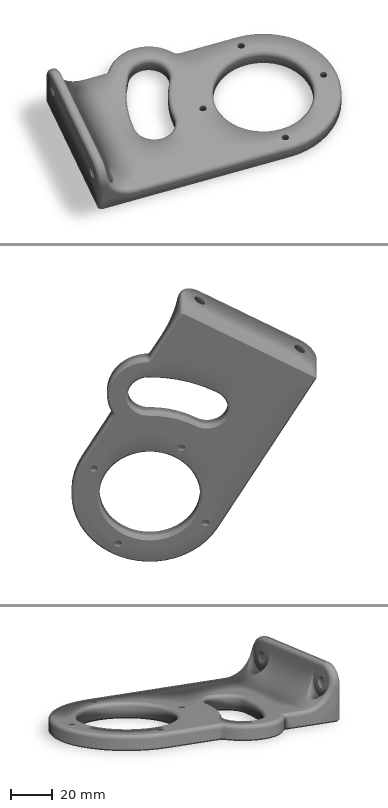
import cadquery as cq
import math

plate_radius = 37.7
plate_thickness = 8.0
wall_outer_y = -98.0
bore_diameter = 48.5
small_hole_diameter = 3.5
small_hole_circle_radius = 31.0

slot_path_radius = 55.9
slot_sweep = math.radians(30)
slot_half_width = 10.0
lobe_radius = 20.1
lobe_x = -slot_path_radius * math.sin(slot_sweep)
lobe_y = -slot_path_radius * math.cos(slot_sweep)
lobe_blend_radius = 2.0

wall_height = 28.0
wall_thickness = 5.0
wall_inner_y = wall_outer_y + wall_thickness
wall_bend_radius = 15.0
wall_corner_radius = 10.0
wall_hole_diameter = 6.0
wall_hole_x = plate_radius - wall_corner_radius
wall_hole_z = wall_height - wall_corner_radius
screw_relief_radius = 7.3

edge_round = 2.0
bottom_chamfer = 1.0
relief_edge_chamfer = 0.5


def make_plate():
    """Round-ended plate with a side lobe blended into its straight edge."""
    strip = cq.Workplane("XY").rect(2 * plate_radius, -wall_outer_y).extrude(plate_thickness)
    strip = strip.translate((0, wall_outer_y / 2, 0))
    round_end = cq.Workplane("XY").circle(plate_radius).extrude(plate_thickness)
    lobe = cq.Workplane("XY").center(lobe_x, lobe_y).circle(lobe_radius).extrude(plate_thickness)
    plate = strip.union(round_end).union(lobe).clean()
    half_chord = math.sqrt(lobe_radius**2 - (plate_radius + lobe_x) ** 2)
    for y in (lobe_y - half_chord, lobe_y + half_chord):
        corner = cq.selectors.NearestToPointSelector((-plate_radius, y, plate_thickness / 2))
        plate = plate.edges(corner).fillet(lobe_blend_radius)
    return plate


def make_wall():
    """Upright wall with a concave bend into the plate and rounded top corners."""
    bend_end_y = wall_inner_y + wall_bend_radius
    bend_center_z = plate_thickness + wall_bend_radius
    bend_middle = wall_bend_radius * math.sqrt(0.5)
    side_profile = (
        cq.Workplane("YZ")
        .moveTo(wall_outer_y, 0)
        .lineTo(bend_end_y, 0)
        .lineTo(bend_end_y, plate_thickness)
        .threePointArc(
            (bend_end_y - bend_middle, bend_center_z - bend_middle),
            (wall_inner_y, bend_center_z),
        )
        .lineTo(wall_inner_y, wall_height)
        .lineTo(wall_outer_y, wall_height)
        .close()
        .extrude(plate_radius, both=True)
    )
    depth = bend_end_y - wall_outer_y
    front_outline = (
        cq.Workplane("XY")
        .box(2 * plate_radius, depth, wall_height, centered=(True, False, False))
        .translate((0, wall_outer_y, 0))
        .edges("|Y and >Z")
        .fillet(wall_corner_radius)
    )
    return side_profile.intersect(front_outline)


def make_slot():
    """Cutter for the constant-width slot that follows an arc about the bore."""
    inner = slot_path_radius - slot_half_width
    outer = slot_path_radius + slot_half_width

    def polar(radius, angle):
        return (-radius * math.sin(angle), -radius * math.cos(angle))

    tip = (
        lobe_x - slot_half_width * math.cos(slot_sweep),
        lobe_y + slot_half_width * math.sin(slot_sweep),
    )
    return (
        cq.Workplane("XY")
        .moveTo(*polar(inner, 0))
        .threePointArc(polar(inner, slot_sweep / 2), polar(inner, slot_sweep))
        .threePointArc(tip, polar(outer, slot_sweep))
        .threePointArc(polar(outer, slot_sweep / 2), polar(outer, 0))
        .threePointArc((slot_half_width, -slot_path_radius), polar(inner, 0))
        .close()
        .extrude(plate_thickness)
    )


def y_cylinder(x, z, radius, start_y, end_y):
    """Cylinder along +Y between two Y positions."""
    return cq.Workplane(cq.Solid.makeCylinder(
        radius, end_y - start_y, cq.Vector(x, start_y, z), cq.Vector(0, 1, 0)))


body = make_plate().union(make_wall()).clean()
bore = cq.Workplane("XY").circle(bore_diameter / 2).extrude(plate_thickness)
body = body.cut(bore).cut(make_slot())

straight_edge_middle_y = (wall_inner_y + wall_bend_radius) / 2
rim_points = [
    (plate_radius, straight_edge_middle_y, plate_thickness),
    (0, wall_outer_y, wall_height),
    (0, 0, plate_thickness),
    (slot_half_width, -slot_path_radius, plate_thickness),
]
for point in rim_points:
    body = body.edges(cq.selectors.NearestToPointSelector(point)).fillet(edge_round)

body = body.faces("<Z").edges().chamfer(bottom_chamfer)

small_holes = (
    cq.Workplane("XY")
    .polarArray(small_hole_circle_radius, 0, 360, 4)
    .circle(small_hole_diameter / 2)
    .extrude(plate_thickness)
)
body = body.cut(small_holes)

relief_end_y = wall_inner_y + wall_bend_radius
for x in (-wall_hole_x, wall_hole_x):
    body = body.cut(y_cylinder(x, wall_hole_z, wall_hole_diameter / 2, wall_outer_y, wall_inner_y))
    body = body.cut(y_cylinder(x, wall_hole_z, screw_relief_radius, wall_inner_y, relief_end_y))

relief_bottom_z = wall_hole_z - screw_relief_radius
bend_rise = plate_thickness + wall_bend_radius - relief_bottom_z
relief_rim_y = relief_end_y - math.sqrt(wall_bend_radius**2 - bend_rise**2)
for x in (-wall_hole_x, wall_hole_x):
    rim = cq.selectors.NearestToPointSelector((x, relief_rim_y, relief_bottom_z))
    body = body.edges(rim).chamfer(relief_edge_chamfer)

result = body